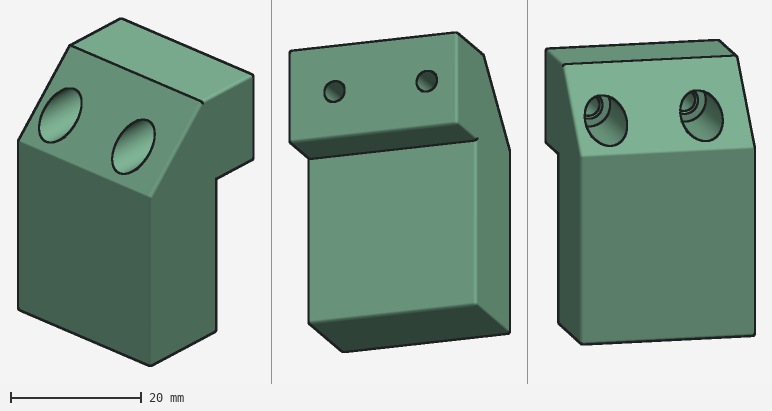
import cadquery as cq

width = 27.5
depth = 23.9
height = 41.5

lip_overhang = 8.5
head_height = 15.0
bevel_size = 11.9
edge_radius = 0.5

stem_depth = depth - lip_overhang
lip_underside = height - head_height

hole_diameter = 3.3
countersink_diameter = 4.05
counterbore_diameter = 6.5
counterbore_floor = stem_depth
first_hole_x = 5.02
hole_spacing = 15.02
hole_z = height - head_height / 2

hole_xs = [first_hole_x, first_hole_x + hole_spacing]


def make_blank():
    """Extruded head and stem with the large front bevel."""
    profile = [
        (0, 0),
        (stem_depth, 0),
        (stem_depth, lip_underside),
        (depth, lip_underside),
        (depth, height),
        (bevel_size, height),
        (0, height - bevel_size),
    ]
    return cq.Workplane("YZ").polyline(profile).close().extrude(width)


def round_outer_edges(blank):
    """Round every edge but the inner corner under the lip and the top edge of the bevel."""
    reach = edge_radius / 2
    middle_x = width / 2

    def edge_selector(y, z):
        return cq.selectors.BoxSelector(
            (middle_x - reach, y - reach, z - reach),
            (middle_x + reach, y + reach, z + reach),
        )

    sharp_edges = edge_selector(stem_depth, lip_underside) + edge_selector(bevel_size, height)
    return blank.edges(cq.selectors.InverseSelector(sharp_edges)).fillet(edge_radius)


def make_hole_cutter(x):
    """Screw hole, its chamfered mouth and the counterbore, as one turned shape along Y."""
    hole_radius = hole_diameter / 2
    countersink_radius = countersink_diameter / 2
    counterbore_radius = counterbore_diameter / 2
    countersink_end = counterbore_floor + countersink_radius - hole_radius
    half_section = [
        (0, 0),
        (counterbore_radius, 0),
        (counterbore_radius, counterbore_floor),
        (countersink_radius, counterbore_floor),
        (hole_radius, countersink_end),
        (hole_radius, depth),
        (0, depth),
    ]
    cutter = cq.Workplane("XY").polyline(half_section).close().revolve(360, (0, 0), (0, 1))
    return cutter.translate((x, 0, hole_z))


block = round_outer_edges(make_blank())
for hole_x in hole_xs:
    block = block.cut(make_hole_cutter(hole_x))

result = cq.Compound.makeCompound([block.val()])